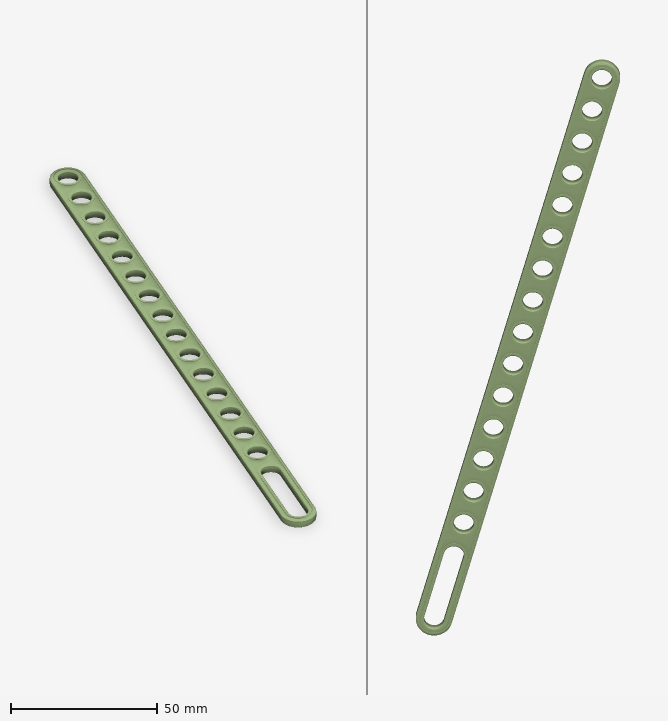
import cadquery as cq

length = 225.0
thickness = 3.2
pitch_count = 18
hole_count = 15
slot_pitches = 2
hole_diameter = 7.0
ring_diameter = 9.2
rim_width = 1.1
recess_depth = 0.2
outer_chamfer = 0.38
opening_chamfer = 0.3

pitch = length / pitch_count
width = pitch

first_hole_x = (width - length) / 2
hole_centers = [(first_hole_x + index * pitch, 0) for index in range(hole_count)]
slot_travel = slot_pitches * pitch
slot_center_x = first_hole_x + hole_count * pitch + slot_travel / 2


def strap_body():
    """Round-ended bar, centred on the origin, with both outer edges chamfered."""
    bar = cq.Workplane("XY").slot2D(length, width).extrude(thickness / 2, both=True)
    return bar.faces("<Z or >Z").edges().chamfer(outer_chamfer)


def opening_prisms(diameter, bottom_z, height):
    """Prisms of the given diameter at every hole, plus one of that width along the slot."""
    base = cq.Workplane("XY").workplane(offset=bottom_z)
    round_prisms = base.pushPoints(hole_centers).circle(diameter / 2).extrude(height)
    slot_prism = base.center(slot_center_x, 0).slot2D(slot_travel + diameter, diameter).extrude(height)
    return round_prisms.union(slot_prism)


def cut_openings(bar):
    """Cut the through holes and slot, then chamfer their mouths on both faces."""
    pierced = bar.cut(opening_prisms(hole_diameter, -thickness / 2, thickness))
    mouth_zone = cq.selectors.BoxSelector(
        (-length / 2 + rim_width, -ring_diameter / 2, -thickness),
        (length / 2 - rim_width, ring_diameter / 2, thickness),
    )
    return pierced.faces("<Z or >Z").edges(mouth_zone).chamfer(opening_chamfer)


def panel_recess(bottom_z):
    """Shallow sunken panel inside the rim, leaving a ring around every opening."""
    panel = (
        cq.Workplane("XY")
        .workplane(offset=bottom_z)
        .slot2D(length - 2 * rim_width, width - 2 * rim_width)
        .extrude(recess_depth)
    )
    return panel.cut(opening_prisms(ring_diameter, bottom_z, recess_depth))


result = cut_openings(strap_body())
for recess_bottom in (thickness / 2 - recess_depth, -thickness / 2):
    result = result.cut(panel_recess(recess_bottom))